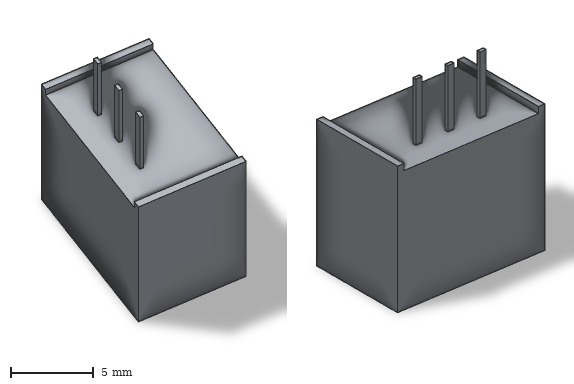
import cadquery as cq

body_width = 11.68
body_depth = 7.5
body_height = 10.17

rail_width = 0.5
rail_height = 0.5
floor_height = body_height - rail_height

overall_height = 14.26
pin_count = 3
pin_pitch = 2.54
pin_width = 0.5
pin_thickness = 0.25
pin_front_offset = 2.0
pin_length = overall_height - floor_height
pin_y = pin_front_offset - body_depth / 2


def make_body():
    """Block with a shallow channel across its top, leaving a rail on each side."""
    block = cq.Workplane("XY").box(body_width, body_depth, body_height, centered=(True, True, False))
    channel = (
        cq.Workplane("XY", origin=(0, 0, floor_height))
        .rect(body_width - 2 * rail_width, body_depth)
        .extrude(rail_height)
    )
    return block.cut(channel)


def make_pins():
    """Evenly spaced pins standing on the channel floor."""
    return (
        cq.Workplane("XY", origin=(0, pin_y, floor_height))
        .rarray(pin_pitch, 0.14, pin_count, 1)
        .rect(pin_width, pin_thickness)
        .extrude(pin_length)
    )


result = make_body().union(make_pins())